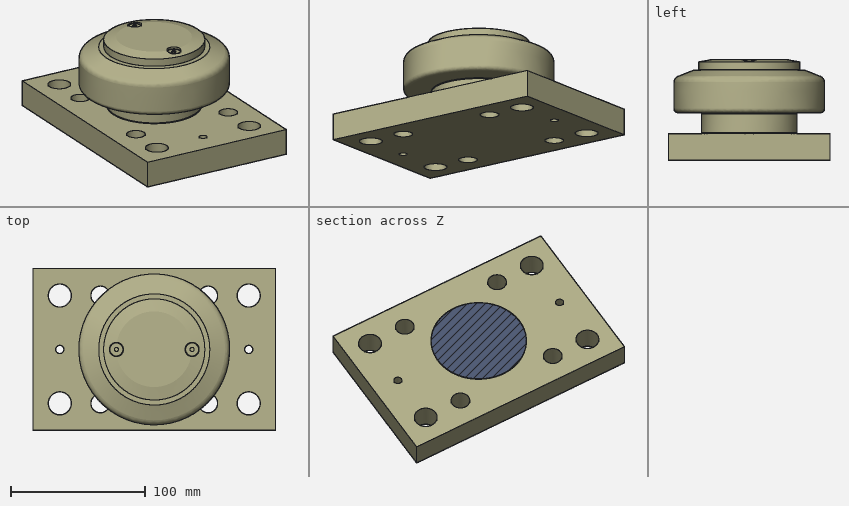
import cadquery as cq

plate_length = 180.0
plate_width = 120.0
plate_thickness = 20.0

corner_hole_diameter = 17.0
inner_hole_diameter = 13.9
dowel_hole_diameter = 6.0
outer_hole_x = 70.0
inner_hole_x = 40.0
hole_y = 40.0

pin_diameter = 71.0
neck_diameter = 71.6
groove_diameter = 70.5
groove_height = 0.7

roller_radius = 56.0
roller_bottom = 35.3
roller_top = 67.0
roller_flat_radius = 41.2
shoulder_edge_z = 61.2
rim_edge_drop = 0.2
shoulder_fillet = 5.0
bottom_fillet = 3.0

cap_diameter = 75.0
cap_bottom = 67.3
cap_rim_z = 73.0
cap_top = 74.9
cap_flat_radius = 28.0

screw_x = cap_flat_radius
recess_diameter = 10.5
recess_depth = 2.0
head_diameter = 9.7
head_height = 0.7
socket_diameter = 3.0
socket_depth = 0.5


def cylinder(diameter, bottom, top):
    return cq.Workplane("XY").workplane(offset=bottom).circle(diameter / 2).extrude(top - bottom)


def make_plate():
    corner_points = [(x, y) for x in (-outer_hole_x, outer_hole_x) for y in (-hole_y, hole_y)]
    inner_points = [(x, y) for x in (-inner_hole_x, inner_hole_x) for y in (-hole_y, hole_y)]
    dowel_points = [(-outer_hole_x, 0), (outer_hole_x, 0)]
    plate = cq.Workplane("XY").box(plate_length, plate_width, plate_thickness, centered=(True, True, False))
    for points, diameter in (
        (corner_points, corner_hole_diameter),
        (inner_points, inner_hole_diameter),
        (dowel_points, dowel_hole_diameter),
    ):
        plate = plate.cut(cq.Workplane("XY").pushPoints(points).circle(diameter / 2).extrude(plate_thickness))
    return plate


def make_pin():
    pin = cylinder(pin_diameter, plate_thickness, roller_bottom)
    neck = cylinder(neck_diameter, roller_bottom, cap_bottom)
    pin = pin.union(neck)
    for groove_bottom in (plate_thickness, roller_bottom - groove_height):
        groove_top = groove_bottom + groove_height
        blank = cylinder(pin_diameter, groove_bottom, groove_top)
        core = cylinder(groove_diameter, groove_bottom, groove_top)
        pin = pin.cut(blank.cut(core))
    return pin


def make_roller():
    edge_radius = roller_radius - rim_edge_drop
    crown_z = (roller_bottom + shoulder_edge_z) / 2
    roller = (
        cq.Workplane("XZ")
        .moveTo(0, roller_bottom)
        .lineTo(edge_radius, roller_bottom)
        .threePointArc((roller_radius, crown_z), (edge_radius, shoulder_edge_z))
        .lineTo(roller_flat_radius, roller_top)
        .lineTo(0, roller_top)
        .close()
        .revolve(360, (0, 0, 0), (0, 1, 0))
    )
    roller = roller.faces("<Z").edges().fillet(bottom_fillet)
    shoulder_selector = cq.selectors.BoxSelector(
        (-roller_radius, -roller_radius, shoulder_edge_z - rim_edge_drop),
        (roller_radius, roller_radius, shoulder_edge_z + rim_edge_drop),
        boundingbox=True,
    )
    return roller.edges(shoulder_selector).fillet(shoulder_fillet)


def make_cap():
    cap_radius = cap_diameter / 2
    cap = (
        cq.Workplane("XZ")
        .moveTo(0, cap_bottom)
        .lineTo(cap_radius, cap_bottom)
        .lineTo(cap_radius, cap_rim_z)
        .lineTo(cap_flat_radius, cap_top)
        .lineTo(0, cap_top)
        .close()
        .revolve(360, (0, 0, 0), (0, 1, 0))
    )
    recess_floor = cap_top - recess_depth
    head_top = recess_floor + head_height
    recess = cylinder(recess_diameter, recess_floor, cap_top)
    head = cylinder(head_diameter, recess_floor, head_top)
    socket = cylinder(socket_diameter, head_top - socket_depth, head_top)
    screw = head.cut(socket)
    for x in (-screw_x, screw_x):
        cap = cap.cut(recess.translate((x, 0, 0))).union(screw.translate((x, 0, 0)))
    return cap


result = make_plate().union(make_pin()).union(make_roller()).union(make_cap())